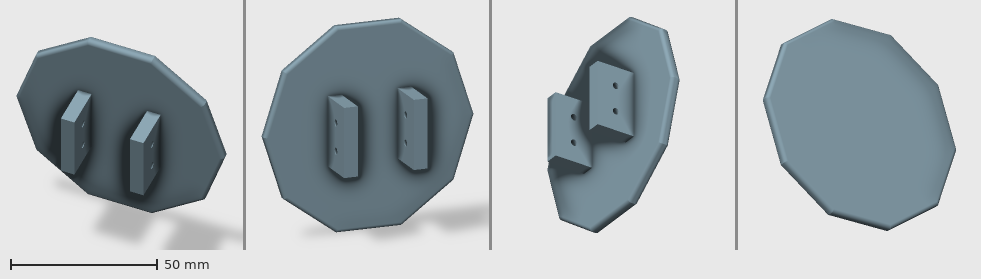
import cadquery as cq

SIDES = 10
PLATE_WIDTH = 77.3
PLATE_THICKNESS = 3.7
EDGE_RADIUS = 1.2

LUG_WIDTH = 5.0
LUG_LENGTH = 15.0
LUG_HEIGHT = 25.05
LUG_SPACING = 25.65

HOLE_DIAMETER = 2.5
HOLE_SPACING = 10.05


def make_plate():
    """Decagon with its front face on Y = 0 and both rims rounded."""
    plate = cq.Workplane("XZ").polygon(SIDES, PLATE_WIDTH).extrude(-PLATE_THICKNESS)
    return plate.faces("<Y or >Y").edges().fillet(EDGE_RADIUS)


def make_lug(center_x):
    """Rectangular lug with two holes running along X."""
    lug = cq.Workplane("XY").box(LUG_WIDTH, LUG_LENGTH, LUG_HEIGHT)
    lug = (
        lug.faces(">X")
        .workplane(centerOption="CenterOfBoundBox")
        .rarray(0.8, HOLE_SPACING, 1, 2)
        .hole(HOLE_DIAMETER)
    )
    return lug.translate((center_x, -LUG_LENGTH / 2, 0))


result = make_plate()
for side in (-1, 1):
    result = result.union(make_lug(side * LUG_SPACING / 2))